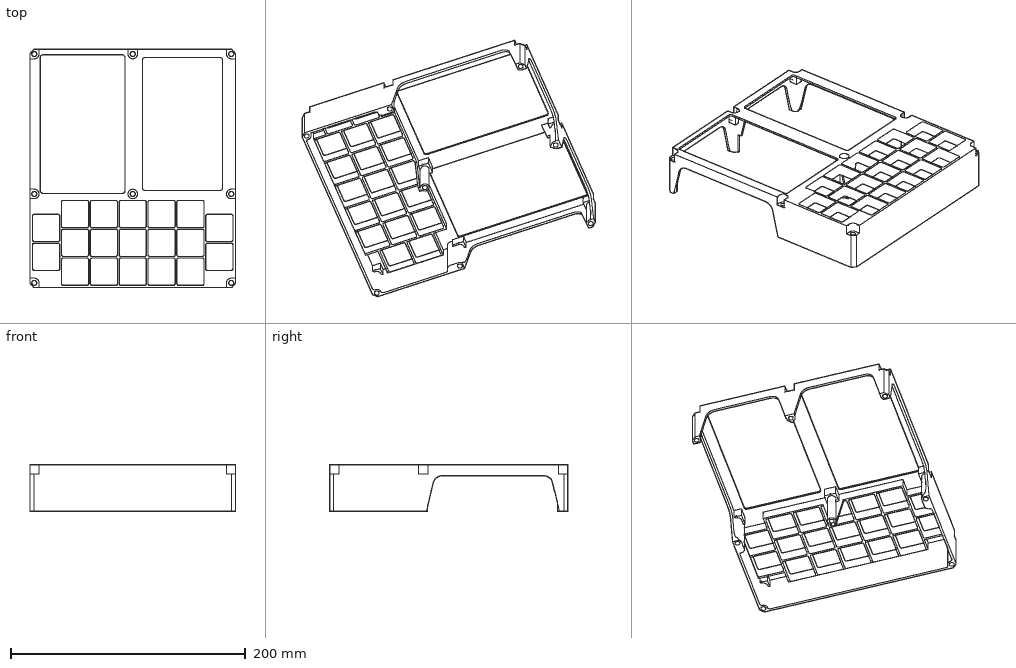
import cadquery as cq
import math

LENGTH = 203.2
WIDTH = 175.2
HEIGHT = 39.8
WALL = 2.0
PLATE = 1.6
CORNER_CHAMFER = 3.5
REACH = 20.3
TOLERANCE = 0.02
HALF_WIDTH = WIDTH / 2
HALF_LENGTH = LENGTH / 2

SCREW_X = HALF_WIDTH - 3.7
SCREW_Y_OUTER = HALF_LENGTH - 4.0
SCREW_Y_MIDDLE = -21.7
HOLE_RADIUS = 2.0
HEAD_RADIUS = 4.0
HEAD_DEPTH = 8.0
SEAT_HALF_WIDTH = 5.0
SEAT_FLOOR = 2.5
POST_RADIUS = 3.7
POST_FILLET = 2.0
LONG_POST_FRONT_Y = -29.3

WINDOW_FILLET = 2.0
LEFT_WINDOW = {"x": (-78.6, -6.7), "y": (-21.1, 96.7)}
RIGHT_WINDOW = {"x": (8.3, 76.5), "y": (-18.7, 94.5)}

KEY_PITCH = 24.5
KEY_SIZE = 23.0
KEY_GAP = KEY_PITCH - KEY_SIZE
KEY_FILLET = 1.2
KEY_DEPTH = 10.0
MAIN_COLUMNS = 5
MAIN_ROWS = 3
MAIN_KEYS_Y = -63.5
SIDE_ROWS = 2
SIDE_KEYS_Y = -63.0
KEYPAD_REAR_Y = MAIN_KEYS_Y + (MAIN_ROWS - 1) / 2 * KEY_PITCH + KEY_SIZE / 2

ARCH_TOP_Z = HEIGHT - 9.5
ARCH_FILLET = 8.1
ARCH_SLOPE = 0.236
LEG_FOOT = 7.3
MIDDLE_LEG_HALF = 4.0
SIDE_ARCH_FRONT = -18.9
ARCH_DEPTH = 9.1

RIB_THICKNESS = 2.0
RIB_FOOT_REACH = 4.9
RIB_WEB_REACH = 7.7
RIB_WEB_Z = 17.5
PIER_FOOT_HALF = 2.0


def block(x, y, z):
    """Box spanning the given (low, high) ranges."""
    return (
        cq.Workplane("XY")
        .box(x[1] - x[0], y[1] - y[0], z[1] - z[0], centered=False)
        .translate((x[0], y[0], z[0]))
    )


def around(centre, half):
    return (centre - half, centre + half)


def outward(start, length):
    """Range that begins at start and runs away from the part's centre."""
    return sorted((start, start + length * math.copysign(1, start)))


def inward(start, length):
    """Range that begins at start and runs towards the part's centre."""
    return outward(start, -length)


def leg_slope(height):
    return ARCH_SLOPE * height


def arch_profile(plane, start, end):
    """Trapezoid that narrows upward from a base on the ground between start and end."""
    run = leg_slope(ARCH_TOP_Z)
    return (
        cq.Workplane(plane)
        .polyline([(start, 0), (end, 0), (end - run, ARCH_TOP_Z), (start + run, ARCH_TOP_Z)])
        .close()
    )


def side_arch(sign):
    tool = arch_profile("YZ", SIDE_ARCH_FRONT, HALF_LENGTH - LEG_FOOT).extrude(ARCH_DEPTH, both=True)
    return tool.faces(">Z").edges("|X").fillet(ARCH_FILLET).translate((sign * HALF_WIDTH, 0, 0))


def rear_arch(sign):
    start, end = sorted((sign * MIDDLE_LEG_HALF, sign * (HALF_WIDTH - LEG_FOOT)))
    tool = arch_profile("XZ", start, end).extrude(ARCH_DEPTH, both=True)
    return tool.faces(">Z").edges("|Y").fillet(ARCH_FILLET).translate((0, HALF_LENGTH, 0))


def key_column(x, centre_y, rows):
    return [(x, centre_y + (row - (rows - 1) / 2) * KEY_PITCH) for row in range(rows)]


def key_centres():
    centres = []
    for column in range(MAIN_COLUMNS):
        x = (column - (MAIN_COLUMNS - 1) / 2) * KEY_PITCH
        centres += key_column(x, MAIN_KEYS_Y, MAIN_ROWS)
    side_x = (MAIN_COLUMNS + 1) / 2 * KEY_PITCH
    for x in (-side_x, side_x):
        centres += key_column(x, SIDE_KEYS_Y, SIDE_ROWS)
    return centres


def screw_points():
    points = [(x, y) for x in (-SCREW_X, SCREW_X) for y in (-SCREW_Y_OUTER, SCREW_Y_MIDDLE, SCREW_Y_OUTER)]
    return points + [(0, SCREW_Y_MIDDLE), (0, SCREW_Y_OUTER)]


def post_with_fillets(x, y):
    """Round post blended into the walls and rib that it touches."""
    full_height = (0, HEIGHT)
    reach = 2 * (POST_RADIUS + POST_FILLET)
    ends = [(x, y)]
    if x and y == SCREW_Y_MIDDLE:
        ends.append((x, LONG_POST_FRONT_Y))
    post = cq.Workplane("XY").pushPoints(ends).circle(POST_RADIUS).extrude(HEIGHT)
    if len(ends) > 1:
        post = post.union(block(around(x, POST_RADIUS), (LONG_POST_FRONT_Y, y), full_height))
    if x:
        wall = inward(math.copysign(HALF_WIDTH, x), WALL)
        post = post.union(block(wall, (ends[-1][1] - reach, y + reach), full_height))
    else:
        post = post.union(block(around(x, RIB_THICKNESS / 2), (y - reach, y), full_height))
    if abs(y) == SCREW_Y_OUTER:
        wall = inward(math.copysign(HALF_LENGTH, y), WALL)
        post = post.union(block(around(x, reach), wall, full_height))

    def is_post_joint(edge):
        spot = edge.Center()
        for end_x, end_y in ends:
            offset_x, offset_y = spot.x - end_x, spot.y - end_y
            on_post = abs(math.hypot(offset_x, offset_y) - POST_RADIUS) < TOLERANCE
            if on_post and abs(offset_y) > TOLERANCE:
                return True
        return False

    joints = [edge for edge in post.edges("|Z").vals() if is_post_joint(edge)]
    post = post.newObject(joints).fillet(POST_FILLET)
    if x == 0:
        beyond_foot = (y - 2 * reach, y - RIB_FOOT_REACH)
        post = post.cut(block(around(x, reach), beyond_foot, full_height))
    return post


def rear_rib():
    """Tapered web in front of the rear centre post, stopping short of the ground."""
    web_top = HEIGHT - PLATE
    low_y = SCREW_Y_OUTER - RIB_WEB_REACH
    high_y = low_y - leg_slope(web_top - RIB_WEB_Z)
    outline = [
        (SCREW_Y_OUTER, RIB_WEB_Z),
        (low_y, RIB_WEB_Z),
        (high_y, web_top),
        (SCREW_Y_OUTER, web_top),
    ]
    return (
        cq.Workplane("YZ")
        .polyline(outline)
        .close()
        .extrude(RIB_THICKNESS / 2, both=True)
    )


def keypad_pier():
    """Downward-tapering wall that joins the back of the keypad to the middle centre post."""
    top_half = PIER_FOOT_HALF + leg_slope(HEIGHT)
    return (
        cq.Workplane("XZ")
        .polyline([(-PIER_FOOT_HALF, 0), (PIER_FOOT_HALF, 0), (top_half, HEIGHT), (-top_half, HEIGHT)])
        .close()
        .extrude(-KEY_GAP)
        .translate((0, KEYPAD_REAR_Y, 0))
    )


def head_recess(x, y):
    """Round screw-head recess that runs out through any outer wall beside it."""
    depth = (HEIGHT - HEAD_DEPTH, HEIGHT)
    floor = cq.Workplane("XY").workplane(offset=HEIGHT - HEAD_DEPTH)
    recess = floor.center(x, y).circle(HEAD_RADIUS).extrude(HEAD_DEPTH)
    by_side = x != 0
    by_end = abs(y) == SCREW_Y_OUTER
    if by_side:
        recess = recess.union(block(outward(x, REACH), around(y, HEAD_RADIUS), depth))
    if by_end:
        recess = recess.union(block(around(x, HEAD_RADIUS), outward(y, REACH), depth))
    if by_side and by_end:
        recess = recess.union(block(outward(x, REACH), outward(y, REACH), depth))
    return recess


envelope = cq.Workplane("XY").rect(WIDTH, LENGTH).extrude(HEIGHT).edges("|Z").chamfer(CORNER_CHAMFER)
cavity = (
    cq.Workplane("XY")
    .rect(WIDTH - 2 * WALL, LENGTH - 2 * WALL)
    .extrude(HEIGHT - PLATE)
    .edges("|Z")
    .chamfer(CORNER_CHAMFER)
)
body = envelope.cut(cavity)

for x, y in screw_points():
    body = body.union(post_with_fillets(x, y).intersect(envelope))
for sign in (-1, 1):
    body = body.cut(side_arch(sign)).cut(rear_arch(sign))
body = body.union(rear_rib()).union(keypad_pier())

seat_z = (HEIGHT - HEAD_DEPTH - SEAT_FLOOR, HEIGHT)
for x, y in screw_points():
    seat = block(around(x, SEAT_HALF_WIDTH), around(y, SEAT_HALF_WIDTH), seat_z)
    body = body.union(seat.intersect(envelope))

key_z = (HEIGHT - KEY_DEPTH, HEIGHT)
frame_half = KEY_SIZE / 2 + KEY_GAP
for x, y in key_centres():
    frame = block(around(x, frame_half), around(y, frame_half), key_z)
    body = body.union(frame.intersect(envelope))
for x, y in key_centres():
    opening = block(around(x, KEY_SIZE / 2), around(y, KEY_SIZE / 2), key_z)
    body = body.cut(opening.edges("|Z").fillet(KEY_FILLET))

for window in (LEFT_WINDOW, RIGHT_WINDOW):
    opening = block(window["x"], window["y"], (HEIGHT - PLATE, HEIGHT))
    body = body.cut(opening.edges("|Z").fillet(WINDOW_FILLET))

for x, y in screw_points():
    hole = cq.Workplane("XY").center(x, y).circle(HOLE_RADIUS).extrude(HEIGHT)
    body = body.cut(hole).cut(head_recess(x, y))

result = body